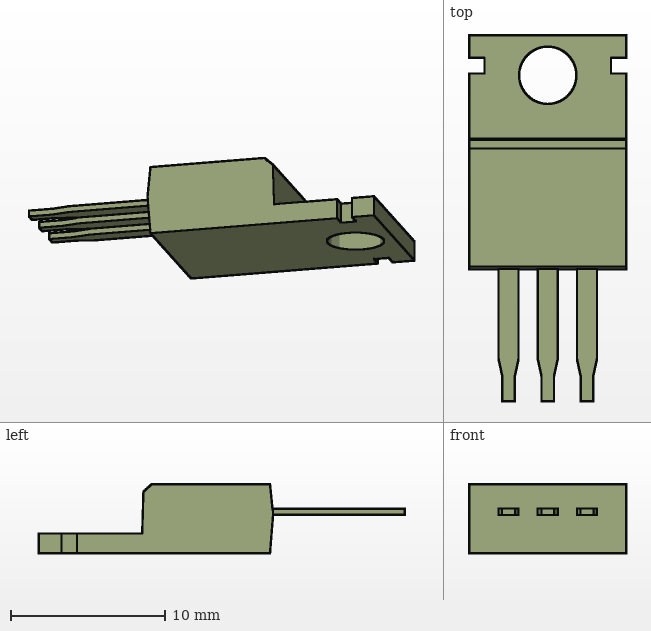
import cadquery as cq


width = 10.2
length = 23.73
height = 4.5

tab_thickness = 1.3
tab_length = 6.7
hole_diameter = 3.7
hole_from_end = 2.6
notch_from_end = 1.47
notch_length = 1.0
notch_depth = 1.0

body_end = 15.2
parting_height = 2.5
front_draft = 0.2
rear_draft = 0.08
chamfer_length = 0.55
chamfer_height = 0.5

lead_count = 3
lead_pitch = 2.54
lead_width = 1.32
lead_tip_width = 0.82
lead_thickness = 0.4
taper_start = 20.97
taper_length = 1.15
lead_embed = 1.0


def make_tab_and_body():
    """Side profile of the tab and body, extruded across the full width."""
    rear_top = tab_length + rear_draft
    profile = [
        (0, 0),
        (0, tab_thickness),
        (-tab_length, tab_thickness),
        (-rear_top, height - chamfer_height),
        (-rear_top - chamfer_length, height),
        (-body_end + front_draft, height),
        (-body_end, parting_height),
        (-body_end + front_draft, 0),
    ]
    return cq.Workplane("YZ").polyline(profile).close().extrude(width / 2, both=True)


def make_hole():
    """Mounting hole through the tab."""
    return (
        cq.Workplane("XY")
        .center(0, -hole_from_end)
        .circle(hole_diameter / 2)
        .extrude(tab_thickness)
    )


def make_notch(side):
    """Rectangular notch in one long edge of the tab; side is -1 or 1."""
    return (
        cq.Workplane("XY")
        .center(side * (width - notch_depth) / 2, -notch_from_end - notch_length / 2)
        .rect(notch_depth, notch_length)
        .extrude(tab_thickness)
    )


def make_lead(x):
    """Flat lead that narrows toward its tip, lying on the parting plane."""
    half_width = lead_width / 2
    half_tip = lead_tip_width / 2
    taper_end = taper_start + taper_length
    outline = [
        (-half_width, -body_end + lead_embed),
        (-half_width, -taper_start),
        (-half_tip, -taper_end),
        (-half_tip, -length),
        (half_tip, -length),
        (half_tip, -taper_end),
        (half_width, -taper_start),
        (half_width, -body_end + lead_embed),
    ]
    return (
        cq.Workplane("XY", origin=(x, 0, parting_height))
        .polyline(outline)
        .close()
        .extrude(lead_thickness)
    )


result = make_tab_and_body().cut(make_hole())
for side in (-1, 1):
    result = result.cut(make_notch(side))
for index in range(lead_count):
    lead_x = (index - (lead_count - 1) / 2) * lead_pitch
    result = result.union(make_lead(lead_x))